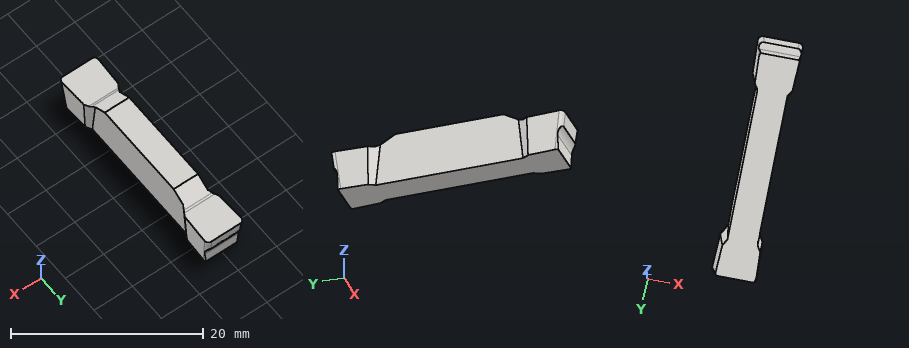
import math

import cadquery as cq

half_length = 25.79 / 2
body_height = 5.79
head_height = 4.52
head_width = 4.8
neck_width = 3.2

front_clearance = math.tan(math.radians(7))
side_clearance = math.tan(math.radians(3))

corner_radius = 0.5
side_taper = math.radians(2.5)
shoulder_angle = math.radians(30)
shoulder_end = 5.24
neck_end = 4.0

ramp_slope = math.tan(math.radians(30))
ramp_top_setback = 6.92
ramp_blend_radius = 0.5

relief_top = 2.81
relief_bottom = 1.65
relief_setback = 0.72


def head_outline(z):
    """Points of the +Y head outline at height z; the head grows outwards as it rises."""
    rise = z - head_height
    side_shift = rise * side_clearance
    front_y = half_length + rise * front_clearance

    top_center_x = head_width / 2 - corner_radius
    top_center_y = half_length - corner_radius
    center_y = front_y - corner_radius
    center_x = (
        top_center_x
        + (center_y - top_center_y) * math.tan(side_taper)
        + side_shift / math.cos(side_taper)
    )

    def arc_point(angle):
        x = center_x + corner_radius * math.cos(angle)
        y = center_y + corner_radius * math.sin(angle)
        return x, y

    arc_start = arc_point(math.pi / 2)
    arc_middle = arc_point((math.pi / 2 - side_taper) / 2)
    arc_end = arc_point(-side_taper)

    taper_slope = math.tan(side_taper)
    shoulder_slope = math.tan(shoulder_angle)
    shoulder_y = half_length - shoulder_end
    shoulder_x = neck_width / 2 + side_shift / math.cos(shoulder_angle)
    tip_y = shoulder_y - shoulder_x / shoulder_slope
    side_x = arc_end[0] - arc_end[1] * taper_slope
    corner_y = (side_x + tip_y * shoulder_slope) / (shoulder_slope - taper_slope)
    corner = (side_x + corner_y * taper_slope, corner_y)
    return arc_start, arc_middle, arc_end, corner, (0, tip_y)


def mirrored(point):
    return -point[0], point[1]


def head_wire(z):
    arc_start, arc_middle, arc_end, corner, tip = head_outline(z)
    outline = (
        cq.Workplane("XY", origin=(0, 0, z))
        .moveTo(*arc_start)
        .threePointArc(arc_middle, arc_end)
        .lineTo(*corner)
        .lineTo(*tip)
        .lineTo(*mirrored(corner))
        .lineTo(*mirrored(arc_end))
        .threePointArc(mirrored(arc_middle), mirrored(arc_start))
        .close()
    )
    return outline.val()


def make_head():
    """Head with drafted faces, up to the full body height; the side profile trims its top."""
    return cq.Workplane(cq.Solid.makeLoft([head_wire(0), head_wire(body_height)], True))


def make_neck():
    """Straight bar reaching far enough into each head to meet the whole shoulder."""
    neck_length = 2 * (half_length - neck_end)
    return cq.Workplane("XY").box(neck_width, neck_length, body_height, centered=(True, True, False))


def make_side_profile():
    """Ramps, head tops and the relief at both ends, extruded across the whole width."""
    ramp_top_y = half_length - ramp_top_setback
    ramp_foot_y = ramp_top_y + (body_height - head_height) / ramp_slope
    relief_y = half_length - relief_setback
    lip_y = half_length - (head_height - relief_top) * front_clearance

    relief_depth = lip_y - relief_y
    relief_drop = relief_top - relief_bottom
    relief_radius = (relief_depth**2 + relief_drop**2) / (2 * relief_depth)
    half_sweep = math.asin(relief_drop / relief_radius) / 2
    middle_y = relief_y + relief_radius * (1 - math.cos(half_sweep))
    middle_z = relief_bottom + relief_radius * math.sin(half_sweep)

    half = (
        cq.Workplane("YZ")
        .lineTo(relief_y, 0)
        .lineTo(relief_y, relief_bottom)
        .threePointArc((middle_y, middle_z), (lip_y, relief_top))
        .lineTo(half_length, head_height)
        .lineTo(ramp_foot_y, head_height)
        .lineTo(ramp_top_y, body_height)
        .lineTo(0, body_height)
        .close()
        .extrude(head_width, both=True)
    )
    half = half.edges(cq.NearestToPointSelector((0, ramp_foot_y, head_height))).fillet(ramp_blend_radius)
    return half.union(half.mirror("XZ"))


head = make_head()
blank = make_neck().union(head).union(head.mirror("XZ"))
result = blank.intersect(make_side_profile())